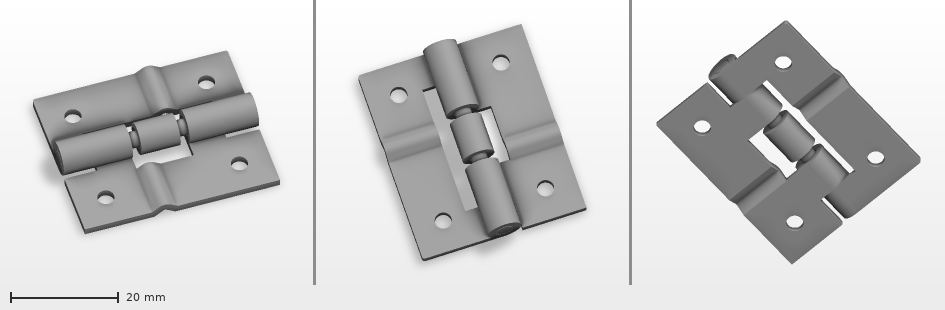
import cadquery as cq
import math

hinge_width = 32.0
hinge_length = 38.0
half_width = hinge_width / 2
half_length = hinge_length / 2
leaf_thickness = 1.5

barrel_diameter = 6.5
axis_height = barrel_diameter / 2
bore_diameter = barrel_diameter - 2 * leaf_thickness
pin_diameter = 3.2
sleeve_diameter = 6.2
sleeve_length = 7.6

knuckle_split = 12.55
inner_knuckle_start = 5.55
window_edge = 5.55
notch_edge = 3.5

hole_diameter = 3.2
hole_x = 10.0
hole_y = 13.0

bend_offset = 3.42
bend_height = 2.8
crest_radius = 1.9
ramp_angle = math.radians(35)
root_radius = 0.55
corner_radius = 0.5


def box(x_min, x_max, y_min, y_max, height):
    """Block standing on Z = 0 between the given limits."""
    return cq.Workplane("XY").box(x_max - x_min, y_max - y_min, height, centered=False).translate(
        (x_min, y_min, 0)
    )


def rod(diameter, y_min, y_max):
    """Solid cylinder on the barrel axis."""
    plane = cq.Plane(origin=(0, y_min, axis_height), xDir=(1, 0, 0), normal=(0, 1, 0))
    return cq.Workplane(plane).circle(diameter / 2).extrude(y_max - y_min)


def crest_arc_end(radius, crest):
    """Half width of the crest arc and the height where it meets the ramps."""
    return radius * math.sin(ramp_angle), crest - radius * (1 - math.cos(ramp_angle))


def ramp_foot(radius, crest, base):
    """Distance from the crest to where a ramp reaches the base height."""
    arc_half_width, arc_end_height = crest_arc_end(radius, crest)
    return arc_half_width + (arc_end_height - base) / math.tan(ramp_angle)


def bend_prism(radius, crest, base, length):
    """Solid under one face of the bend: two ramps joined by a tangent crest arc."""
    arc_half_width, arc_end_height = crest_arc_end(radius, crest)
    foot = ramp_foot(radius, crest, base)
    plane = cq.Plane(origin=(-half_width, bend_offset, 0), xDir=(0, 1, 0), normal=(1, 0, 0))
    return (
        cq.Workplane(plane)
        .moveTo(-foot, base)
        .lineTo(-arc_half_width, arc_end_height)
        .threePointArc((0, crest), (arc_half_width, arc_end_height))
        .lineTo(foot, base)
        .close()
        .extrude(length)
    )


def add_bend(plate):
    """Raise a constant-thickness bend between the outer edge and the window edge."""
    length = half_width - window_edge
    raised = bend_prism(crest_radius, bend_height, leaf_thickness, length)
    hollow = bend_prism(crest_radius - leaf_thickness, bend_height - leaf_thickness, 0, length)
    foot = ramp_foot(crest_radius, bend_height, leaf_thickness)
    bent = plate.union(raised)
    for side in (-1, 1):
        root = cq.selectors.NearestToPointSelector(
            (-(half_width + window_edge) / 2, bend_offset + side * foot, leaf_thickness)
        )
        bent = bent.edges("|X").edges(root).fillet(root_radius)
    return bent.cut(hollow)


def add_knuckles(plate, y_start, y_end):
    """Roll a matching pair of knuckles about the axis and bore them."""
    for y_min, y_max in ((-y_end, -y_start), (y_start, y_end)):
        plate = plate.union(rod(barrel_diameter, y_min, y_max))
    return plate.cut(rod(bore_diameter, -half_length, half_length))


def drill_screw_holes(plate):
    points = [(-hole_x, -hole_y), (-hole_x, hole_y)]
    drills = cq.Workplane("XY").pushPoints(points).circle(hole_diameter / 2).extrude(leaf_thickness)
    return plate.cut(drills)


def make_left_leaf():
    """Leaf with the two outer knuckles and rounded outer corners."""
    plate = box(-half_width, 0, -half_length, half_length, leaf_thickness)
    plate = plate.edges("|Z and <X").fillet(corner_radius)
    plate = plate.cut(box(-window_edge, 0, -knuckle_split, knuckle_split, leaf_thickness))
    plate = drill_screw_holes(add_bend(plate))
    return add_knuckles(plate, knuckle_split, half_length)


def make_right_leaf():
    """Leaf with the two inner knuckles, shaped on the -X side and then turned half round."""
    plate = box(-half_width, -notch_edge, -half_length, half_length, leaf_thickness)
    plate = plate.union(box(-notch_edge, 0, -knuckle_split, knuckle_split, leaf_thickness))
    slot = box(-window_edge, 0, -inner_knuckle_start, inner_knuckle_start, leaf_thickness)
    plate = drill_screw_holes(add_bend(plate.cut(slot)))
    leaf = add_knuckles(plate, inner_knuckle_start, knuckle_split)
    return leaf.rotate((0, 0, 0), (0, 0, 1), 180)


def make_pin():
    """Plain pin running the full length of the barrel."""
    return rod(pin_diameter, -half_length, half_length)


def make_sleeve():
    """Loose sleeve around the pin, midway between the inner knuckles."""
    outer = rod(sleeve_diameter, -sleeve_length / 2, sleeve_length / 2)
    return outer.cut(rod(bore_diameter, -sleeve_length / 2, sleeve_length / 2))


left_leaf = make_left_leaf()
right_leaf = make_right_leaf()
pin = make_pin()
sleeve = make_sleeve()

result = cq.Compound.makeCompound(
    [body.solids().val() for body in (left_leaf, right_leaf, pin, sleeve)]
)